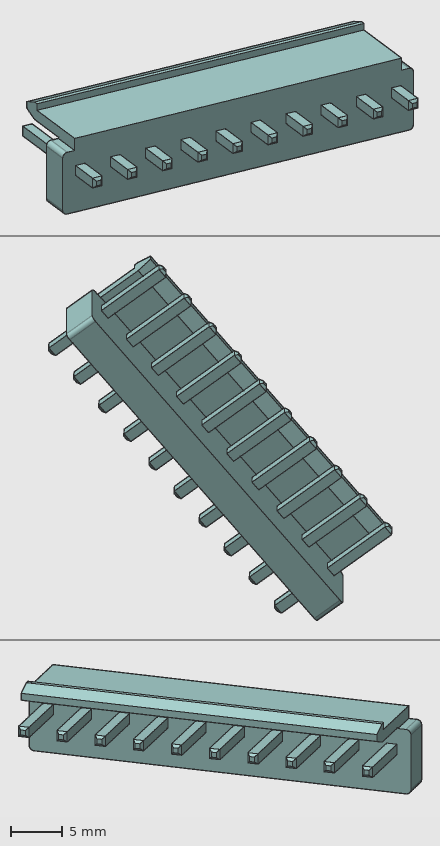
import cadquery as cq

length = 39.6
wafer_back = 3.52
wafer_thickness = 3.2
wafer_front = wafer_back - wafer_thickness
wafer_height = 6.7
corner_radius = 0.5

ramp_length = 36.9
arm_bottom = 6.8
arm_top = 8.0
lip_top = 8.7
lip_back = -3.9
lip_taper_start = -4.35
nose_front = -5.9
nose_bottom = 7.4
nose_top = 8.1

pin_count = 10
pin_pitch = 3.95
pin_length = 14.3
pin_width = 1.05
pin_chamfer = 0.28
pin_height = 4.5


def make_wafer():
    plate = cq.Workplane("XY").box(wafer_thickness, length, wafer_height, centered=(False, True, False))
    return plate.edges("|X").fillet(corner_radius).translate((wafer_front, 0, 0))


def make_locking_ramp():
    """The ramp's foot reaches down to the wafer's top face; the arm overhangs toward -X."""
    outline = [
        (wafer_back, wafer_height),
        (wafer_back, arm_top),
        (lip_back, arm_top),
        (lip_back, lip_top),
        (lip_taper_start, lip_top),
        (nose_front, nose_top),
        (nose_front, nose_bottom),
        (lip_taper_start, arm_bottom),
        (wafer_front, arm_bottom),
        (wafer_front, wafer_height),
    ]
    return cq.Workplane("XZ").polyline(outline).close().extrude(ramp_length / 2, both=True)


def make_pin():
    pin = cq.Workplane("XY").box(pin_length, pin_width, pin_width)
    return pin.faces("<X or >X").chamfer(pin_chamfer)


result = make_wafer().union(make_locking_ramp())

first_pin_y = -pin_pitch * (pin_count - 1) / 2
for index in range(pin_count):
    pin_y = first_pin_y + index * pin_pitch
    result = result.union(make_pin().translate((0, pin_y, pin_height)))